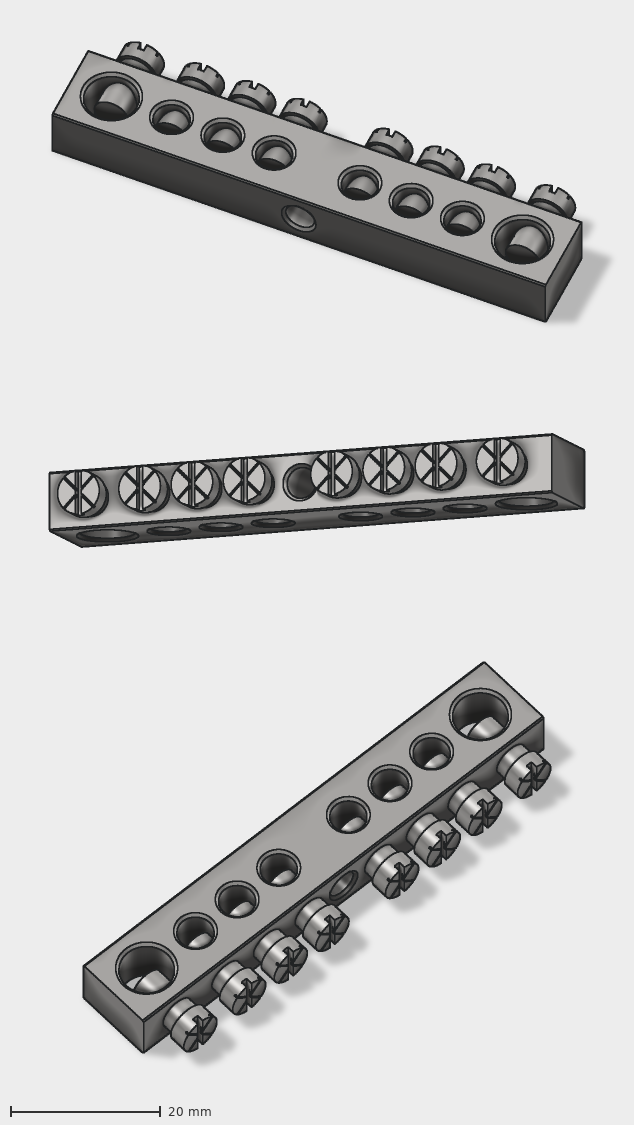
import cadquery as cq

bar_length = 72.0
bar_width = 12.0
bar_height = 8.0
edge_break = 0.2

hole_chamfer = 0.4
small_wire_diameter = 5.0
large_wire_diameter = 7.4
mounting_diameter = 4.2

first_terminal = 6.3
terminal_pitch = 7.5
small_terminals_per_side = 3
large_terminal = 30.0

shank_diameter = 5.0
head_diameter = 6.0
head_length = 2.6
head_rise = 4.7
slot_width = 0.9
slot_depth = 1.0
groove_width = 0.2
groove_depth = 0.5
groove_angles = (45, 135)

rear_face = bar_width / 2
head_top = rear_face + head_rise
head_underside = head_top - head_length

right_small_places = [first_terminal + i * terminal_pitch for i in range(small_terminals_per_side)]
small_places = [side * x for side in (-1, 1) for x in right_small_places]
large_places = [-large_terminal, large_terminal]
screw_places = small_places + large_places


def cylinder_along_y(diameter, x, y_start, y_end):
    """Round body parallel to Y, at mid height of the bar."""
    return cq.Workplane(cq.Solid.makeCylinder(
        diameter / 2, y_end - y_start, cq.Vector(x, y_start, 0), cq.Vector(0, 1, 0)))


def chamfered_hole(diameter, length):
    """Cutter along Z, centred on the origin, for a through hole chamfered at both mouths."""
    radius = diameter / 2
    mouth_radius = radius + hole_chamfer
    half_length = length / 2
    return (
        cq.Workplane("XZ")
        .moveTo(0, -half_length)
        .lineTo(mouth_radius, -half_length)
        .lineTo(radius, -half_length + hole_chamfer)
        .lineTo(radius, half_length - hole_chamfer)
        .lineTo(mouth_radius, half_length)
        .lineTo(0, half_length)
        .close()
        .revolve(360, (0, 0, 0), (0, 1, 0))
    )


def make_bar():
    """Rectangular bar with vertical wire holes, screw holes and one mounting hole."""
    bar = cq.Workplane("XY").box(bar_length, bar_width, bar_height).edges("|X").chamfer(edge_break)
    for x in screw_places:
        bar = bar.cut(cylinder_along_y(shank_diameter, x, 0, rear_face))
    for x in small_places:
        bar = bar.cut(chamfered_hole(small_wire_diameter, bar_height).translate((x, 0, 0)))
    for x in large_places:
        bar = bar.cut(chamfered_hole(large_wire_diameter, bar_height).translate((x, 0, 0)))
    mounting_hole = chamfered_hole(mounting_diameter, bar_width).rotate((0, 0, 0), (1, 0, 0), 90)
    return bar.cut(mounting_hole)


def head_cut(width, depth):
    """Cutter for a straight channel along Z across the top of a head on the X = 0 axis."""
    return cq.Workplane("XY").box(width, depth, head_diameter).translate((0, head_top - depth / 2, 0))


def make_screw(x):
    """Cheese-head screw with a driving slot and two fine diagonal grooves."""
    shank = cylinder_along_y(shank_diameter, 0, 0, head_underside)
    head = cylinder_along_y(head_diameter, 0, head_underside, head_top)
    screw = shank.union(head).cut(head_cut(slot_width, slot_depth))
    for angle in groove_angles:
        groove = head_cut(groove_width, groove_depth).rotate((0, 0, 0), (0, 1, 0), angle)
        screw = screw.cut(groove)
    return screw.translate((x, 0, 0))


bar = make_bar()
screws = [make_screw(x) for x in screw_places]

result = cq.Compound.makeCompound([bar.solids().val(), *[screw.solids().val() for screw in screws]])